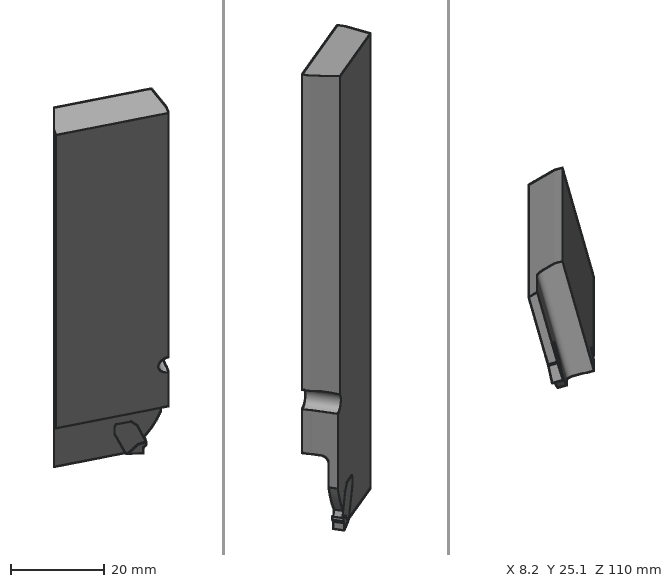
import cadquery as cq
import math

TOTAL_LENGTH = 110.0
SHANK_WIDTH = 25.1
SHANK_THICKNESS = 8.0
EDGE_FLAT = 1.8
BEVEL_ANGLE = 15.0
BLADE_THICKNESS = 2.1
BLADE_BOTTOM = 1.0
SHOULDER_HEIGHT = 19.2
SHOULDER_RADIUS = 1.6
HEAD_WIDTH = 25.0
NOTCH_HEIGHT = 32.1
NOTCH_RADIUS = 2.3
NOSE_TOP = 11.9
TIP_OVERHANG = 0.2

bevel_depth = SHANK_THICKNESS - EDGE_FLAT
bevel_rise = bevel_depth * math.tan(math.radians(BEVEL_ANGLE))

NOSE_MIDDLE = (23.4, 8.2)
NOSE_END = (21.1, 4.7)
INSERT_HEEL = (17.0, BLADE_BOTTOM)
TIP_TOP = (21.7, 3.3)
TIP_FRONT = (21.7, 2.5)
TIP_RELIEF = (21.0, 1.8)
TIP_POINT = (21.0, 0.0)
TIP_HEEL = (17.3, 0.7)
CUTTING_END = [TIP_HEEL, TIP_POINT, TIP_RELIEF, TIP_FRONT, TIP_TOP]
INSERT_SEAT = [NOSE_END, (19.7, 8.8), (18.4, 10.3), (15.0, 10.5), (14.6, 9.8), (14.6, 7.6), INSERT_HEEL]
TIP_INNER_EDGE = [(19.8, 3.0), (18.2, 1.2)]


def make_shank():
    """Bar with two bevelled edges, running the full length of the holder."""
    return (
        cq.Workplane("XY", origin=(0, 0, BLADE_BOTTOM))
        .moveTo(0, bevel_rise)
        .lineTo(bevel_depth, 0)
        .lineTo(SHANK_THICKNESS, 0)
        .lineTo(SHANK_THICKNESS, SHANK_WIDTH)
        .lineTo(bevel_depth, SHANK_WIDTH)
        .lineTo(0, SHANK_WIDTH - bevel_rise)
        .close()
        .extrude(TOTAL_LENGTH - BLADE_BOTTOM)
    )


def make_head_filler():
    """Wedge that squares off the bevel between the blade end and the notch."""
    filler_depth = bevel_depth * (1 - (SHANK_WIDTH - HEAD_WIDTH) / bevel_rise)
    return (
        cq.Workplane("XY", origin=(0, 0, BLADE_BOTTOM))
        .moveTo(0, SHANK_WIDTH - bevel_rise)
        .lineTo(filler_depth, HEAD_WIDTH)
        .lineTo(0, HEAD_WIDTH)
        .close()
        .extrude(NOTCH_HEIGHT - BLADE_BOTTOM)
    )


def make_shoulder_cut():
    """Space beside the thin blade, with a rounded inner corner."""
    return (
        cq.Workplane("XY", origin=(BLADE_THICKNESS, 0, 0))
        .box(SHANK_THICKNESS, SHANK_WIDTH, SHOULDER_HEIGHT, centered=False)
        .edges("<X and >Z")
        .fillet(SHOULDER_RADIUS)
    )


def make_notch_cut():
    """Round notch across the +Y edge."""
    return (
        cq.Workplane("YZ")
        .center(SHANK_WIDTH, NOTCH_HEIGHT)
        .circle(NOTCH_RADIUS)
        .extrude(SHANK_THICKNESS)
    )


def make_nose_cut():
    """Space outside the curved nose and below the insert."""
    return (
        cq.Workplane("YZ")
        .moveTo(HEAD_WIDTH, NOSE_TOP)
        .threePointArc(NOSE_MIDDLE, NOSE_END)
        .lineTo(*INSERT_HEEL)
        .lineTo(INSERT_HEEL[0], 0)
        .lineTo(SHANK_WIDTH, 0)
        .lineTo(SHANK_WIDTH, NOSE_TOP)
        .close()
        .extrude(SHANK_THICKNESS)
    )


def make_insert_core():
    """Flat part of the insert, flush with both faces of the blade."""
    return (
        cq.Workplane("YZ")
        .polyline(INSERT_SEAT + CUTTING_END)
        .close()
        .extrude(BLADE_THICKNESS)
    )


def make_tip():
    """Cutting tip, widest at its front edge and tapering back into the core."""
    outline = (
        cq.Workplane("YZ", origin=(-TIP_OVERHANG, 0, 0))
        .polyline(CUTTING_END + TIP_INNER_EDGE)
        .close()
        .extrude(BLADE_THICKNESS + 2 * TIP_OVERHANG)
    )
    taper = (
        cq.Workplane("XY")
        .moveTo(0, TIP_HEEL[0])
        .lineTo(BLADE_THICKNESS, TIP_HEEL[0])
        .lineTo(BLADE_THICKNESS + TIP_OVERHANG, TIP_FRONT[0])
        .lineTo(-TIP_OVERHANG, TIP_FRONT[0])
        .close()
        .extrude(TIP_TOP[1])
    )
    return outline.intersect(taper)


insert_core = make_insert_core()
holder = (
    make_shank()
    .union(make_head_filler())
    .cut(make_shoulder_cut())
    .cut(make_notch_cut())
    .cut(make_nose_cut())
    .cut(insert_core)
)
insert = insert_core.union(make_tip())

result = cq.Compound.makeCompound([holder.solids().val(), insert.solids().val()])